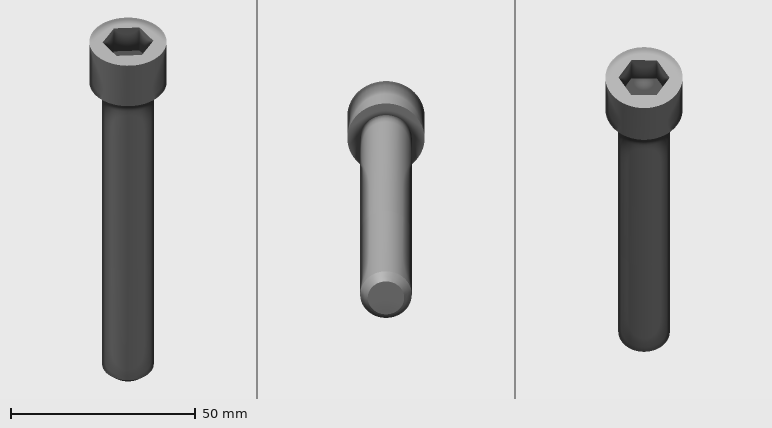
import cadquery as cq
import math

total_length = 114.0
head_diameter = 21.0
shank_diameter = 14.0
head_height = shank_diameter
shank_length = total_length - head_height
thread_length = 40.0
tip_chamfer = 2.0

socket_across_flats = 12.0
socket_across_corners = socket_across_flats / math.cos(math.pi / 6)
socket_depth = 8.0


def cylinder(diameter, length, base_height):
    return cq.Workplane("XY").workplane(offset=base_height).circle(diameter / 2).extrude(length)


threaded_end = cylinder(shank_diameter, thread_length, 0).faces("<Z").chamfer(tip_chamfer)
plain_shank = cylinder(shank_diameter, shank_length - thread_length, thread_length)
head = cylinder(head_diameter, head_height, shank_length)

socket = (
    cq.Workplane("XY")
    .workplane(offset=total_length - socket_depth)
    .polygon(6, socket_across_corners)
    .extrude(socket_depth)
)

result = threaded_end.union(plain_shank, clean=False).union(head, clean=False).cut(socket, clean=False)